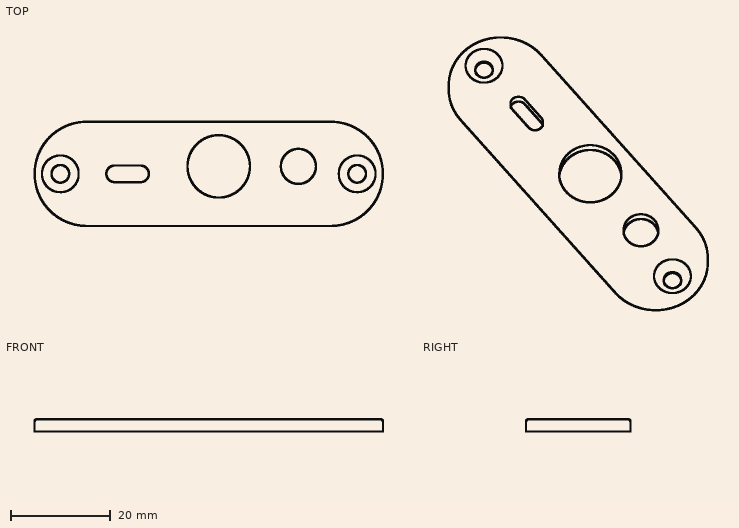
import cadquery as cq

PLATE_LENGTH = 70.0
PLATE_WIDTH = 21.0
PLATE_THICKNESS = 2.5
TOP_EDGE_RADIUS = 0.5

SCREW_SPACING = 59.6
SCREW_DIAMETER = 3.5
COUNTERSINK_DIAMETER = 7.4
COUNTERSINK_ANGLE = 90.0

SLOT_X = -16.3
SLOT_LENGTH = 8.5
SLOT_WIDTH = 3.3

OPENING_Y = 1.5
LARGE_OPENING_X = 2.0
LARGE_OPENING_DIAMETER = 12.5
SMALL_OPENING_X = 18.0
SMALL_OPENING_DIAMETER = 7.0


def make_plate():
    """Rounded-end plate with its top rim rounded over."""
    outline = cq.Workplane("XY").slot2D(PLATE_LENGTH, PLATE_WIDTH)
    plate = outline.extrude(PLATE_THICKNESS)
    return plate.faces(">Z").edges().fillet(TOP_EDGE_RADIUS)


def top_plane(part):
    """Workplane on the top face, centred on the plate."""
    return part.faces(">Z").workplane(origin=(0, 0, PLATE_THICKNESS))


def cut_screw_holes(part):
    """Countersunk through holes, placed symmetrically about the centre."""
    centres = [(-SCREW_SPACING / 2, 0), (SCREW_SPACING / 2, 0)]
    holes = top_plane(part).pushPoints(centres)
    return holes.cskHole(SCREW_DIAMETER, COUNTERSINK_DIAMETER, COUNTERSINK_ANGLE)


def cut_slot(part):
    """Through slot with semicircular ends."""
    slot = top_plane(part).center(SLOT_X, 0).slot2D(SLOT_LENGTH, SLOT_WIDTH)
    return slot.cutThruAll()


def cut_opening(part, x, diameter):
    """Plain round through opening."""
    return top_plane(part).center(x, OPENING_Y).hole(diameter)


result = make_plate()
result = cut_screw_holes(result)
result = cut_slot(result)
result = cut_opening(result, LARGE_OPENING_X, LARGE_OPENING_DIAMETER)
result = cut_opening(result, SMALL_OPENING_X, SMALL_OPENING_DIAMETER)